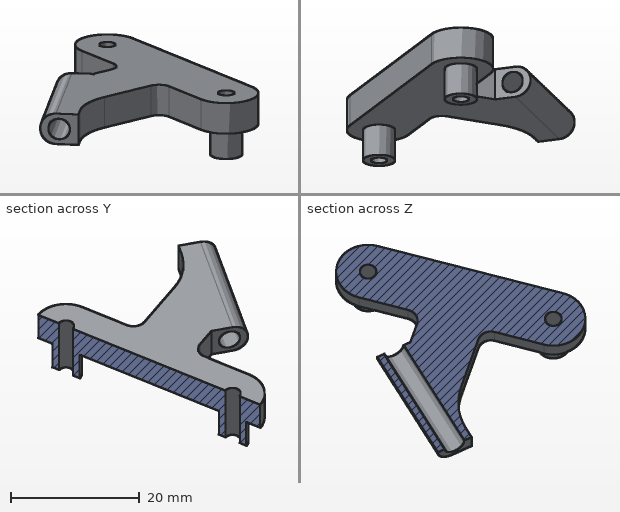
import cadquery as cq
import math

plate_length = 40.0
plate_width = 10.0
thickness = 5.0
hole_spacing = plate_length - plate_width
peg_diameter = 5.0
peg_length = 5.0
peg_hole_diameter = peg_diameter / 2

stem_width = 10.0
stem_fillet = 2.0
blend_radius = 10.0

overall_depth = 33.8
tube_length = 20.0
tube_radius = thickness / 2
tube_bore_diameter = 3.35
tube_bore_offset = 0.5
foot_width = 6.0
tube_angle = -45.0


def offset(point, along, across):
    """Move a point along the tube and across it, towards the plate."""
    angle = math.radians(tube_angle)
    return (
        point[0] + along * math.cos(angle) - across * math.sin(angle),
        point[1] + along * math.sin(angle) + across * math.cos(angle),
    )


half_stem = stem_width / 2
tip = (half_stem, plate_width / 2 - overall_depth)
axis_end = offset(tip, 0, tube_radius)
axis_start = offset(axis_end, -tube_length, 0)
foot_end = offset(tip, 0, foot_width)
blend_corner = (half_stem, tip[1] + foot_width / math.sin(math.radians(-tube_angle)))
run_to_stem = (-half_stem - axis_start[0]) / math.cos(math.radians(tube_angle))
stem_corner = offset(axis_start, 0, run_to_stem)


def make_body():
    plate = cq.Workplane("XY").slot2D(plate_length, plate_width).extrude(thickness)
    stem = (
        cq.Workplane("XY")
        .polyline([
            (-half_stem, 0),
            stem_corner,
            axis_start,
            axis_end,
            foot_end,
            blend_corner,
            (half_stem, 0),
        ])
        .close()
        .extrude(thickness)
    )
    body = plate.union(stem)

    def edge_at(x, y):
        return cq.selectors.NearestToPointSelector((x, y, thickness / 2))

    for side in (-1, 1):
        corner = edge_at(side * half_stem, -plate_width / 2)
        body = body.edges("|Z").edges(corner).fillet(stem_fillet)
    return body.edges("|Z").edges(edge_at(*blend_corner)).fillet(blend_radius)


def tube_cylinder(radius, across=0):
    """Cylinder along the tube, shifted sideways from the tube axis."""
    start = offset(axis_start, 0, across)
    end = offset(axis_end, 0, across)
    direction = (end[0] - start[0], end[1] - start[1], 0)
    base = (start[0], start[1], thickness / 2)
    return cq.Workplane(cq.Solid.makeCylinder(radius, tube_length, base, direction))


def at_holes(height):
    places = [(-hole_spacing / 2, 0), (hole_spacing / 2, 0)]
    return cq.Workplane("XY").workplane(offset=height).pushPoints(places)


pegs = at_holes(-peg_length).circle(peg_diameter / 2).extrude(peg_length)
peg_holes = at_holes(-peg_length).circle(peg_hole_diameter / 2).extrude(peg_length + thickness)

result = (
    make_body()
    .union(tube_cylinder(tube_radius))
    .union(pegs)
    .cut(peg_holes)
    .cut(tube_cylinder(tube_bore_diameter / 2, tube_bore_offset))
)